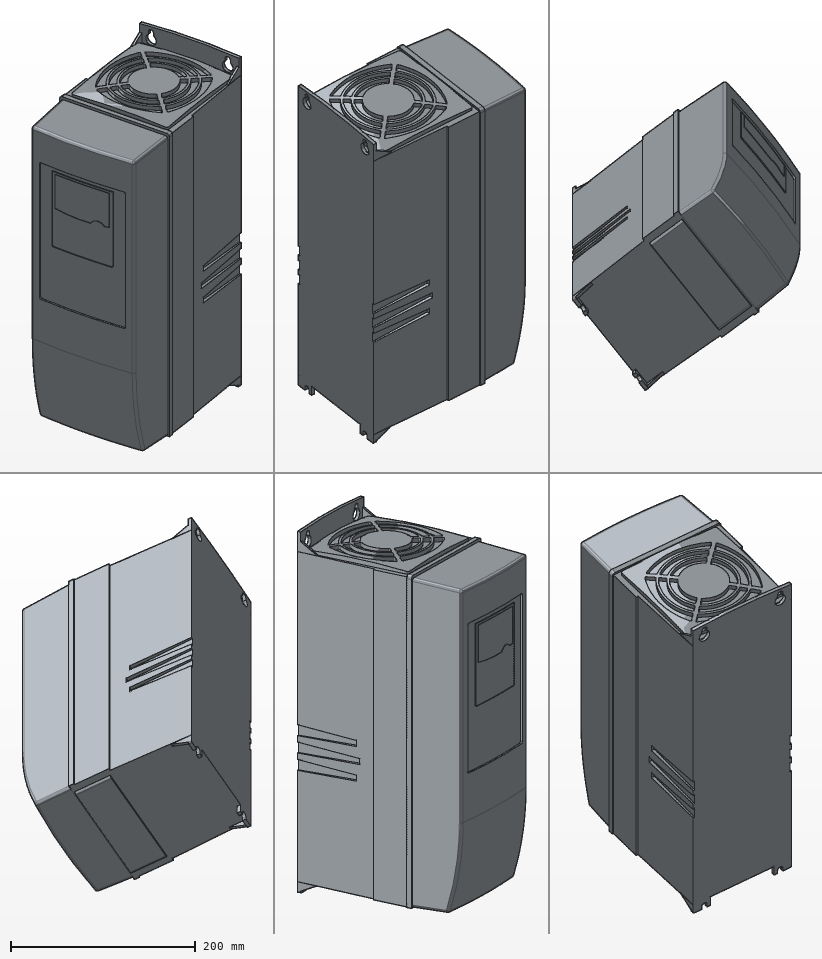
import cadquery as cq
import math


total_width = 143.57
total_depth = 213.72
total_height = 419.16

foot_drop = 12.6
body_height = 380.8
body_depth = 100.0
body_half_back = 65.0
body_half_front = 67.7
middle_half = 70.3
collar_start = 143.0
collar_end = 149.3
collar_rise = 2.5
collar_corner = 4.0

cover_half_back = 69.6
cover_half_front = 67.2
cover_top_back = 380.0
cover_top_front = 376.9
cover_floor_rise = 2.6
cover_bow = 3.3
cover_curve_top = 108.8
cover_curve_radius = 350.0
cover_edge_fillet = 3.3

panel_half, panel_bottom, panel_top, panel_corner = 56.2, 162.8, 335.8, 2.5
panel_recess = 2.4
keypad_half, keypad_bottom, keypad_top, keypad_corner = 39.6, 234.7, 330.2, 2.0
keypad_rise = 1.2
window_half, window_bottom, window_top = 35.4, 284.6, 327.7
window_sag = 2.7
window_rise = 0.5
thumb_x, thumb_z, thumb_radius = 21.0, 276.6, 11.0

lid_half = 63.1
lid_back, lid_back_middle, lid_front = 11.5, 8.6, 140.1
lid_corner = 3.0
lid_rise = 8.0
dome_radius = 844.0
fan_y = -72.9
slot_floor_drop = 5.0
grille_slot_rims = (
    ((28.1, 28.1), (36.5, 40.0)),
    ((39.4, 43.0), (47.8, 54.0)),
    ((50.6, 57.0), (58.6, 89.0)),
)
slot_corner = 1.5
spoke_width = 5.0
spoke_angles = (45, 135)

plate_thickness = 4.2
plate_half = 65.0
plate_sag = 2.5
gusset_thickness = 3.0
gusset_reach = 25.5
top_gusset_height = 12.2
foot_lip = 2.2
foot_inner = 42.0
foot_corner = 1.5
mount_x = 50.0
slot_width = 7.0
foot_slot_top = -5.0
keyhole_z = 388.4
keyhole_radius = 6.8
keyhole_slot_z = 397.5

groove_floor_x = 63.0
groove_middle_z = 154.8
groove_pitch = 20.0
groove_half_back, groove_half_end = 6.3, 3.5
groove_lengths = (76.2, 80.4, 76.2)
bar_half, bar_start, bar_end, bar_drop = 62.0, 103.0, 147.5, 2.9

plate_top = total_height - foot_drop
bow_radius = (cover_half_front ** 2 + cover_bow ** 2) / (2 * cover_bow)


def block(x0, x1, y0, y1, z0, z1):
    return cq.Workplane("XY").box(x1 - x0, y1 - y0, z1 - z0, centered=False).translate((x0, y0, z0))


def drafted_block(y_back, half_back, z_back, y_front, half_front, z_front):
    """Loft between two rectangles in planes facing -Y; z_back and z_front are (low, high) pairs."""

    def rectangle(y, half, z_range):
        low, high = z_range
        corners = [(-half, y, low), (half, y, low), (half, y, high), (-half, y, high)]
        return cq.Wire.makePolygon([cq.Vector(*c) for c in corners], close=True)

    back = rectangle(y_back, half_back, z_back)
    front = rectangle(y_front, half_front, z_front)
    return cq.Workplane(cq.Solid.makeLoft([back, front], True))


def housing():
    full = (0, body_height)
    body = drafted_block(0, body_half_back, full, -body_depth, body_half_front, full)
    middle = block(-middle_half, middle_half, -collar_end, -body_depth, 0, body_height)
    collar = block(
        -total_width / 2, total_width / 2, -collar_end, -collar_start, 0, body_height + collar_rise
    )
    collar = collar.edges("|Y and >Z").fillet(collar_corner)
    return body.union(middle).union(collar)


def bowed_outline(inset, y_back):
    """Plan outline, closed at y_back, whose front is the cover's bow set back by inset."""
    front = inset - total_depth
    half = total_width / 2
    radius = bow_radius - inset
    side = front + radius - math.sqrt(radius ** 2 - half ** 2)
    return (
        cq.Workplane("XY", origin=(0, 0, cover_curve_top))
        .moveTo(-half, y_back)
        .lineTo(half, y_back)
        .lineTo(half, side)
        .threePointArc((0, front), (-half, side))
        .close()
    )


def cover():
    front_y = -total_depth - 1
    envelope = drafted_block(
        -collar_end,
        cover_half_back,
        (0, cover_top_back),
        front_y,
        cover_half_front,
        (cover_floor_rise, cover_top_front),
    )
    axis_y = cover_curve_radius - total_depth
    upper = bowed_outline(0, axis_y).extrude(body_height)
    lower = bowed_outline(0, axis_y).revolve(90, (0, axis_y, 0), (1, axis_y, 0))
    shape = envelope.intersect(upper.union(lower))
    return shape.edges().filter(is_outer_cover_edge).fillet(cover_edge_fillet)


def is_outer_cover_edge(edge):
    """True except on the collar side and along the seam where the front starts to curve under."""
    middle = edge.Center()
    on_collar = middle.y > -collar_end - 1
    on_seam = abs(middle.z - cover_curve_top) < 1
    return not (on_collar or on_seam)


def front_layer(sketch, back_inset, front_inset):
    """A front-facing sketch turned into a layer between two set-backs from the bowed front."""
    back_y = -total_depth / 2
    prism = cq.Workplane("XZ").placeSketch(sketch).extrude(total_depth + 1)
    outer = bowed_outline(front_inset, back_y).extrude(body_height)
    inner = bowed_outline(back_inset, back_y).extrude(body_height)
    return prism.intersect(outer).cut(inner)


def front_rectangle(half, bottom, top):
    return cq.Sketch().push([(0, (bottom + top) / 2)]).rect(2 * half, top - bottom).reset()


def add_control_panel(shape):
    panel = front_rectangle(panel_half, panel_bottom, panel_top).vertices().fillet(panel_corner)
    shape = shape.cut(front_layer(panel, panel_recess, -1))

    keypad = front_rectangle(keypad_half, keypad_bottom, keypad_top)
    keypad = keypad.vertices("<Y").fillet(keypad_corner)
    keypad_inset = panel_recess - keypad_rise
    shape = shape.union(front_layer(keypad, panel_recess + 1, keypad_inset))

    window = (
        cq.Sketch()
        .segment((-window_half, window_bottom), (-window_half, window_top))
        .segment((window_half, window_top))
        .segment((window_half, window_bottom))
        .arc((0, window_bottom - window_sag), (-window_half, window_bottom))
        .assemble()
        .push([(thumb_x, thumb_z)])
        .circle(thumb_radius, mode="s")
    )
    return shape.union(front_layer(window, panel_recess + 1, keypad_inset - window_rise))


def dome_ball(drop=0):
    """Ball whose upper surface is the lid's dome, lowered by drop."""
    centre_z = body_height + lid_rise - dome_radius - drop
    return cq.Workplane("XZ").sphere(dome_radius).translate((0, fan_y, centre_z))


def fan_lid():
    lid = (
        cq.Workplane("XY", origin=(0, 0, body_height - 1))
        .moveTo(-lid_half, -lid_back)
        .threePointArc((0, -lid_back_middle), (lid_half, -lid_back))
        .lineTo(lid_half, -lid_front)
        .lineTo(-lid_half, -lid_front)
        .close()
        .extrude(2 * lid_rise)
    )
    lid = lid.edges("|Z and <Y").fillet(lid_corner)
    return lid.intersect(dome_ball())


def rounded_square(reach, arc_radius):
    """Prism over the fan centre bounded by four arcs; a cylinder when reach equals arc_radius."""
    base = cq.Workplane("XY", origin=(0, fan_y, body_height - lid_rise))
    disc = base.circle(arc_radius).extrude(3 * lid_rise)
    offset = arc_radius - reach
    if offset == 0:
        return disc
    prism = disc.translate((offset, 0, 0))
    for dx, dy in ((-offset, 0), (0, offset), (0, -offset)):
        prism = prism.intersect(disc.translate((dx, dy, 0)))
    return prism


def grille_slots():
    slots = cq.Workplane("XY")
    for inner_rim, outer_rim in grille_slot_rims:
        slots = slots.add(rounded_square(*outer_rim).cut(rounded_square(*inner_rim)))
    slots = slots.combine()
    spoke = block(
        -total_width, total_width, -spoke_width / 2, spoke_width / 2, 0, 2 * body_height
    )
    for angle in spoke_angles:
        slots = slots.cut(spoke.rotate((0, 0, 0), (0, 0, 1), angle).translate((0, fan_y, 0)))
    return slots.edges("|Z").fillet(slot_corner).cut(dome_ball(slot_floor_drop))


def gusset(profile, side):
    """Side web from a Y-Z profile; side is -1 or 1."""
    start = plate_half - gusset_thickness if side > 0 else -plate_half
    return cq.Workplane("YZ", origin=(start, 0, 0)).polyline(profile).close().extrude(gusset_thickness)


def top_mount():
    shoulder = plate_top - plate_sag
    plate = (
        cq.Workplane("XZ")
        .moveTo(-plate_half, body_height - 1)
        .lineTo(-plate_half, shoulder)
        .threePointArc((0, plate_top), (plate_half, shoulder))
        .lineTo(plate_half, body_height - 1)
        .close()
        .extrude(plate_thickness)
    )
    gusset_top = body_height + top_gusset_height
    profile = [
        (0, body_height),
        (-gusset_reach, body_height),
        (-plate_thickness, gusset_top),
        (0, gusset_top),
    ]
    for side in (-1, 1):
        plate = plate.union(gusset(profile, side))
        plate = plate.cut(keyhole().translate((side * mount_x, 0, 0)))
    return plate


def keyhole():
    slot = (
        cq.Workplane("XZ")
        .center(0, keyhole_slot_z)
        .circle(slot_width / 2)
        .extrude(plate_thickness)
    )
    neck = block(-slot_width / 2, slot_width / 2, -plate_thickness, 0, keyhole_z, keyhole_slot_z)
    head = cq.Workplane("XZ").center(0, keyhole_z).circle(keyhole_radius).extrude(plate_thickness)
    return slot.union(neck).union(head)


def foot(side):
    inner, outer = sorted((side * foot_inner, side * plate_half))
    plate = block(inner, outer, -plate_thickness, 0, -foot_drop, 1)
    outer_side = ">X" if side > 0 else "<X"
    plate = plate.faces(outer_side).edges("<Z").fillet(foot_corner)
    profile = [
        (0, 0),
        (-gusset_reach, 0),
        (-plate_thickness, foot_lip - foot_drop),
        (0, foot_lip - foot_drop),
    ]
    centre = side * mount_x
    arc_z = foot_slot_top - slot_width / 2
    slot = block(
        centre - slot_width / 2, centre + slot_width / 2, -plate_thickness, 0, -foot_drop, arc_z
    )
    slot_end = cq.Workplane("XZ").center(centre, arc_z).circle(slot_width / 2).extrude(plate_thickness)
    return plate.union(gusset(profile, side)).cut(slot).cut(slot_end)


def bottom_bar():
    bar = block(-bar_half, bar_half, -bar_end, -bar_start, -bar_drop, 1)
    return bar.edges("|Y and <Z").fillet(bar_drop)


def side_groove(side, centre_z, length):
    """Tapered groove entering from the back edge, with a flat floor parallel to the Y-Z plane."""
    profile = [
        (0, centre_z - groove_half_back),
        (-length, centre_z - groove_half_end),
        (-length, centre_z + groove_half_end),
        (0, centre_z + groove_half_back),
    ]
    start = groove_floor_x if side > 0 else -total_width / 2
    depth = total_width / 2 - groove_floor_x
    return cq.Workplane("YZ", origin=(start, 0, 0)).polyline(profile).close().extrude(depth)


def add_side_grooves(shape):
    for row, length in enumerate(groove_lengths, start=-1):
        for side in (-1, 1):
            shape = shape.cut(side_groove(side, groove_middle_z + row * groove_pitch, length))
    return shape


result = add_side_grooves(housing())
result = result.union(add_control_panel(cover()))
result = result.union(fan_lid()).cut(grille_slots())
result = result.union(top_mount()).union(bottom_bar())
for foot_side in (-1, 1):
    result = result.union(foot(foot_side))